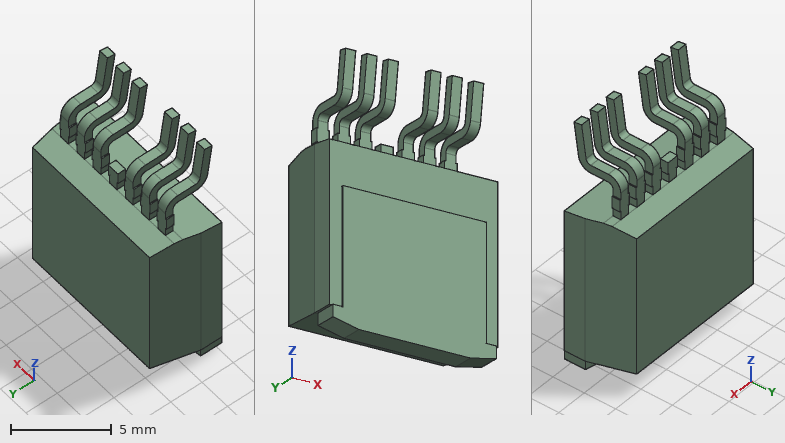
import cadquery as cq
import math


total_height = 15.02
draft = math.radians(8)

housing_width = 10.0
housing_front = 0.1
housing_back = 4.4
housing_bottom = 1.0
housing_top = 10.25
taper_start = 1.44

tab_thickness = 1.35
window_width = 8.5
window_top = 7.53
foot_width = 9.72
foot_bottom_width = 6.62
foot_corner_height = 0.33

lead_thickness = 0.5
lead_front = 2.5
lead_back = lead_front + lead_thickness
lead_width = 0.6
shoulder_width = 0.75
shoulder_bottom = 10.78
shoulder_top = 11.54
outer_lead_span = 7.6
lead_positions = 7
lead_pitch = outer_lead_span / (lead_positions - 1)
arm_top = 12.74
arm_bottom = arm_top - lead_thickness
inner_radius = 0.3
outer_radius = inner_radius + lead_thickness


def make_tab():
    """Plate with a wide, corner-cut foot under a narrower part set into the housing."""
    outline = [
        (-foot_bottom_width / 2, 0),
        (foot_bottom_width / 2, 0),
        (foot_width / 2, foot_corner_height),
        (foot_width / 2, housing_bottom),
        (window_width / 2, housing_bottom),
        (window_width / 2, window_top),
        (-window_width / 2, window_top),
        (-window_width / 2, housing_bottom),
        (-foot_width / 2, housing_bottom),
        (-foot_width / 2, foot_corner_height),
    ]
    return cq.Workplane("XZ").polyline(outline).close().extrude(-tab_thickness)


def make_housing(tab):
    """Moulded block with drafted rear and roof, recessed for the tab."""
    taper_inset = (housing_back - taper_start) * math.tan(draft)
    front_drop = (lead_front - housing_front) * math.tan(draft)
    back_drop = (housing_back - lead_back) * math.tan(draft)
    half_width = housing_width / 2
    half_back_width = half_width - taper_inset

    plan_outline = [
        (-half_width, housing_front),
        (half_width, housing_front),
        (half_width, taper_start),
        (half_back_width, housing_back),
        (-half_back_width, housing_back),
        (-half_width, taper_start),
    ]
    side_outline = [
        (housing_front, housing_bottom),
        (housing_front, housing_top - front_drop),
        (lead_front, housing_top),
        (lead_back, housing_top),
        (housing_back, housing_top - back_drop),
        (housing_back, housing_bottom + taper_inset),
        (taper_start, housing_bottom),
    ]
    plan = cq.Workplane("XY").polyline(plan_outline).close().extrude(total_height)
    side = cq.Workplane("YZ").polyline(side_outline).close().extrude(half_width, both=True)
    return plan.intersect(side).cut(tab)


def lead_block(width, bottom, top):
    """Upright stretch of lead stock of a given width, centred on X = 0."""
    block = cq.Workplane("XY").box(width, lead_thickness, top - bottom, centered=(True, False, False))
    return block.translate((0, lead_front, bottom))


def lead_shoulder():
    """Wider stretch of a lead just above the housing, centred on X = 0."""
    return lead_block(shoulder_width, shoulder_bottom, shoulder_top)


def polar(center, radius, angle):
    """Point at a radius and an angle, in radians, around a center in the YZ plane."""
    return (center[0] + radius * math.cos(angle), center[1] + radius * math.sin(angle))


def make_lead(x):
    """Strip rising from the housing, bent forward, then bent up into a leaning tip."""
    tip_front = (0, total_height - lead_thickness * math.sin(draft))
    tip_back = (lead_thickness * math.cos(draft), total_height)
    arc_end_height = arm_bottom + outer_radius * (1 - math.sin(draft))
    tip_length = (tip_front[1] - arc_end_height) / math.cos(draft)

    rear_bend = (lead_back - outer_radius, arm_top - outer_radius)
    front_bend = (
        outer_radius * math.cos(draft) + tip_length * math.sin(draft),
        arm_bottom + outer_radius,
    )
    rear_middle = math.radians(45)
    down = math.radians(270)
    front_end = math.radians(180) + draft
    front_middle = (down + front_end) / 2

    strip = (
        cq.Workplane("YZ")
        .moveTo(lead_front, housing_top)
        .lineTo(lead_front, rear_bend[1])
        .threePointArc(polar(rear_bend, inner_radius, rear_middle), (rear_bend[0], arm_bottom))
        .lineTo(front_bend[0], arm_bottom)
        .threePointArc(
            polar(front_bend, outer_radius, front_middle), polar(front_bend, outer_radius, front_end)
        )
        .lineTo(*tip_front)
        .lineTo(*tip_back)
        .lineTo(*polar(front_bend, inner_radius, front_end))
        .threePointArc(polar(front_bend, inner_radius, front_middle), (front_bend[0], arm_top))
        .lineTo(rear_bend[0], arm_top)
        .threePointArc(polar(rear_bend, outer_radius, rear_middle), (lead_back, rear_bend[1]))
        .lineTo(lead_back, housing_top)
        .close()
        .extrude(lead_width / 2, both=True)
    )
    return strip.union(lead_shoulder()).translate((x, 0, 0))


def make_stub():
    """Middle lead, cut off at the top of its shoulder."""
    neck = lead_block(lead_width, housing_top, shoulder_bottom)
    return neck.union(lead_shoulder())


tab = make_tab()
housing = make_housing(tab)
stub = make_stub()

middle_position = lead_positions // 2
leads = []
for position in range(lead_positions):
    if position != middle_position:
        leads.append(make_lead((position - middle_position) * lead_pitch))

result = cq.Compound.makeCompound(
    [housing.val(), tab.val(), stub.val(), *[lead.val() for lead in leads]]
)